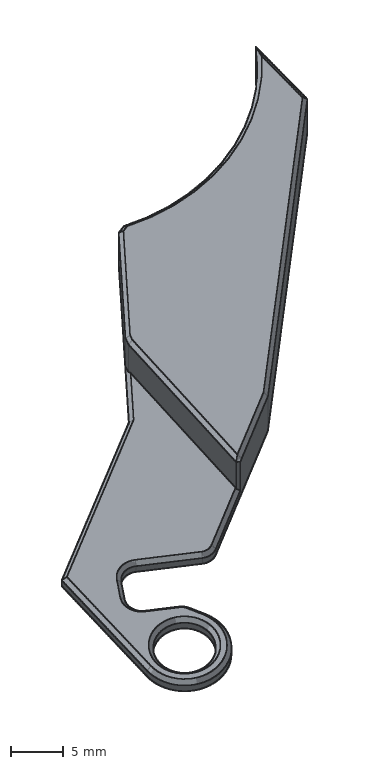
import cadquery as cq
import math

total_height = 5.95
handle_thickness = 1.35
edge_chamfer = 0.45
overall_length = 54.6
overall_width = 51.0

step_left = (20.6, 19.9)
step_right = (38.85, 19.6)

ring_radius = 4.5
hole_diameter = 5.95
ring_x = overall_length - ring_radius
ring_y = ring_radius
ring_join_angle = math.radians(117)

blade_tip = (0, 50.85)
blade_back_corner = (7.9, overall_width)
cutting_arc_middle = (8.15, 42.15)
cutting_arc_end = (9.45, 28.0)
heel = (9.8, 27.15)
shoulder = (33.8, 26.75)

belly = (25.55, 16.45)
pommel = (36.7, 0)

notch_corner = (38.85, 5.2)
notch_angle = math.radians(61.6)
notch_width = 5.35
notch_wall_length = 9.0
notch_fillet = 1.65


def move(point, distance, angle):
    """Return the point a given distance away in the given direction."""
    return (point[0] + distance * math.cos(angle), point[1] + distance * math.sin(angle))


def ring_tangent_crossing(wall_foot):
    """Return where the far notch wall meets the tangent at the ring joint."""
    foot_offset = (wall_foot[0] - ring_x, wall_foot[1] - ring_y)
    radial = (math.cos(ring_join_angle), math.sin(ring_join_angle))
    foot_reach = foot_offset[0] * radial[0] + foot_offset[1] * radial[1]
    climb = (ring_radius - foot_reach) / math.cos(notch_angle - ring_join_angle)
    return move(wall_foot, climb, notch_angle)


notch_tip = move(notch_corner, notch_wall_length, notch_angle)
notch_far_corner = move(notch_corner, notch_width, notch_angle - math.pi / 2)
ring_neck = ring_tangent_crossing(notch_far_corner)
ring_joint = move((ring_x, ring_y), ring_radius, ring_join_angle)


def make_slab(thickness):
    """Extrude the full outline and round the corners around the finger notch."""
    slab = (
        cq.Workplane("XY")
        .moveTo(*blade_tip)
        .lineTo(*blade_back_corner)
        .lineTo(*shoulder)
        .lineTo(*notch_tip)
        .lineTo(*notch_corner)
        .lineTo(*notch_far_corner)
        .lineTo(*ring_neck)
        .lineTo(*ring_joint)
        .threePointArc((overall_length, ring_y), (ring_x, 0))
        .lineTo(*pommel)
        .lineTo(*belly)
        .lineTo(*heel)
        .lineTo(*cutting_arc_end)
        .threePointArc(cutting_arc_middle, blade_tip)
        .close()
        .extrude(thickness)
    )
    for x, y in (notch_tip, notch_corner, notch_far_corner, ring_neck):
        corner_edge = cq.selectors.NearestToPointSelector((x, y, thickness / 2))
        slab = slab.edges("|Z").edges(corner_edge).fillet(notch_fillet)
    return slab


def make_handle():
    """Thin plate with the finger hole, beveled along every upper edge."""
    plate = make_slab(handle_thickness)
    hole = (
        cq.Workplane("XY")
        .center(ring_x, ring_y)
        .circle(hole_diameter / 2)
        .extrude(handle_thickness)
    )
    return plate.cut(hole).faces(">Z").chamfer(edge_chamfer)


def make_blade():
    """Thick block beyond the step, with beveled step corners and upper edges."""
    slope = (step_right[1] - step_left[1]) / (step_right[0] - step_left[0])
    wall_start = step_left[1] - slope * step_left[0]
    wall_end = wall_start + slope * overall_length
    keep = (
        cq.Workplane("XY")
        .moveTo(0, wall_start)
        .lineTo(overall_length, wall_end)
        .lineTo(overall_length, overall_width)
        .lineTo(0, overall_width)
        .close()
        .extrude(total_height)
    )
    block = make_slab(total_height).intersect(keep)
    upper_edges = block.faces(">Z").edges()
    step_corners = block.faces("<Y").edges("|Z")
    return block.newObject(upper_edges.vals() + step_corners.vals()).chamfer(edge_chamfer)


result = make_blade().union(make_handle())